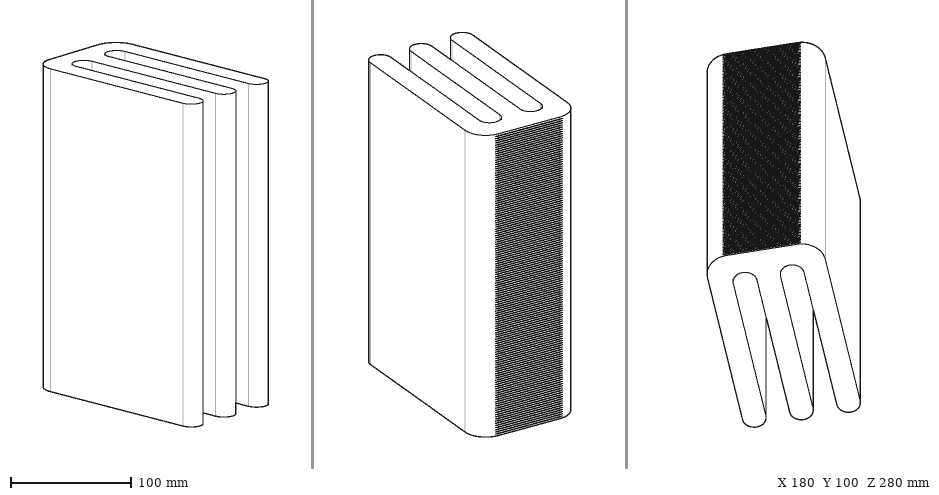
import cadquery as cq

length = 180.0
height = 280.0
finger_count = 3

wall = 20.0
finger_pitch = 2 * wall
width = (2 * finger_count - 1) * wall
corner_radius = 20.0
round_end_radius = wall / 2

groove_pitch = 2.0
groove_width = 0.4
groove_depth = 0.2
groove_count = round(height / groove_pitch) - 1


def comb_body():
    """Upright prism whose outline is a back wall with round-ended fingers and slots."""
    half_wall = wall / 2
    tip_start = length - round_end_radius
    slot_start = wall + round_end_radius

    outline = cq.Workplane("XY").moveTo(0, -width / 2)
    for i in range(finger_count):
        finger_y = i * finger_pitch - (width - wall) / 2
        outline = (
            outline
            .lineTo(tip_start, finger_y - half_wall)
            .threePointArc((length, finger_y), (tip_start, finger_y + half_wall))
        )
        if i < finger_count - 1:
            slot_y = finger_y + wall
            outline = (
                outline
                .lineTo(slot_start, slot_y - half_wall)
                .threePointArc((wall, slot_y), (slot_start, slot_y + half_wall))
            )
    body = outline.lineTo(0, width / 2).close().extrude(height)
    return body.edges("|Z and <X").fillet(corner_radius)


def groove_cutters():
    """All the V-shaped groove prisms, evenly spaced up the back face."""
    half_width = groove_width / 2
    profile = cq.Workplane("XZ").polyline([(0, -half_width), (groove_depth, 0), (0, half_width)]).close()
    groove = profile.extrude(width / 2, both=True).val()
    cutters = [groove.translate(cq.Vector(0, 0, i * groove_pitch)) for i in range(1, groove_count + 1)]
    return cq.Workplane(obj=cq.Compound.makeCompound(cutters))


result = comb_body().cut(groove_cutters())